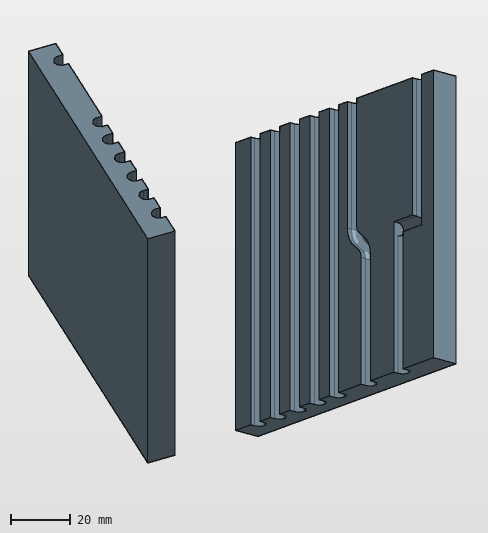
import cadquery as cq

width = 101.9
thickness = 10.0
height = 102.0

groove_width = 4.7
groove_radius = groove_width / 2
straight_groove_pitch = 10.1
first_straight_x = 51.2
straight_groove_depths = [4.6, 4.5, 4.3, 4.2, 4.0]

shifted_groove_depth = 4.2
stepped_groove_x = 8.6
curved_groove_x = 41.9
step_shift = 2 * groove_width
curve_shift = 1.5 * groove_width
curve_height = 12.2
mid_height = height / 2


def groove_profile(plane, depth):
    """U-shaped section whose local X is across the groove and local Y is the plate's Y."""
    arc_start_y = thickness - depth + groove_radius
    return (
        cq.Workplane(plane)
        .moveTo(-groove_radius, thickness)
        .lineTo(-groove_radius, arc_start_y)
        .threePointArc((0, thickness - depth), (groove_radius, arc_start_y))
        .lineTo(groove_radius, thickness)
        .close()
    )


def vertical_groove(x, bottom, top, depth):
    """Groove parallel to Z between two heights."""
    plane = cq.Plane(origin=(x, 0, bottom), xDir=(1, 0, 0), normal=(0, 0, 1))
    return groove_profile(plane, depth).extrude(top - bottom)


def stepped_groove():
    """Two vertical legs joined by a square-ended cross groove."""
    lower_x = stepped_groove_x + step_shift
    cross_plane = cq.Plane(
        origin=(stepped_groove_x - groove_radius, 0, mid_height),
        xDir=(0, 0, -1),
        normal=(1, 0, 0),
    )
    cross = groove_profile(cross_plane, shifted_groove_depth).extrude(step_shift + groove_width)
    upper = vertical_groove(stepped_groove_x, mid_height, height, shifted_groove_depth)
    lower = vertical_groove(lower_x, 0, mid_height, shifted_groove_depth)
    return cross.union(upper).union(lower)


def curved_groove():
    """Two vertical legs joined by a smooth S-bend."""
    lower_x = curved_groove_x - curve_shift
    bend_bottom = mid_height - curve_height / 2
    bend_top = mid_height + curve_height / 2
    path = cq.Workplane("XZ").spline(
        [(lower_x, bend_bottom), (curved_groove_x, bend_top)],
        tangents=[(0, 1), (0, 1)],
    )
    plane = cq.Plane(origin=(lower_x, 0, bend_bottom), xDir=(1, 0, 0), normal=(0, 0, 1))
    bend = groove_profile(plane, shifted_groove_depth).sweep(path)
    upper = vertical_groove(curved_groove_x, bend_top, height, shifted_groove_depth)
    lower = vertical_groove(lower_x, 0, bend_bottom, shifted_groove_depth)
    return bend.union(upper).union(lower)


result = cq.Workplane("XY").box(width, thickness, height, centered=False)
for index, groove_depth in enumerate(straight_groove_depths):
    groove_x = first_straight_x + index * straight_groove_pitch
    result = result.cut(vertical_groove(groove_x, 0, height, groove_depth))
result = result.cut(stepped_groove()).cut(curved_groove())